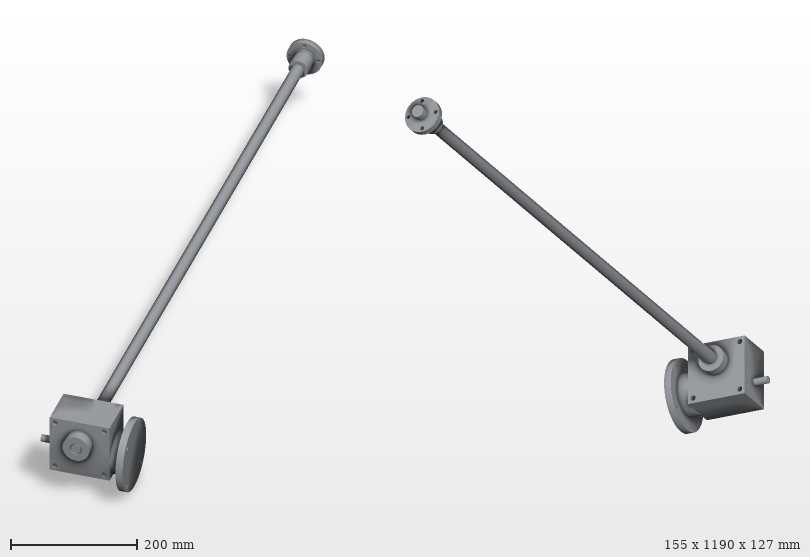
import cadquery as cq
import math


OVERALL_LENGTH = 1190.0
OVERALL_WIDTH = 155.0
OVERALL_HEIGHT = 127.0

HOUSING_SIDE = 100.0
HOUSING_DEPTH = 70.0
BOSS_DIAMETER = 44.0
BOSS_SPAN = 110.0
CORNER_HOLE_DIAMETER = 9.0
CORNER_HOLE_INSET = 8.9
SIDE_HOLE_DIAMETER = 4.9
SIDE_HOLE_DEPTH = 12.0
SIDE_HOLE_PITCH_Y = 52.0
SIDE_HOLE_PITCH_Z = 29.0

WORM_DIAMETER = 12.0
WORM_STICKOUT = 25.0
WORM_CENTER_HOLE_DIAMETER = 4.2
WORM_CENTER_HOLE_DEPTH = 12.0

FLANGE_DIAMETER = 120.0
FLANGE_THICKNESS = 12.0
NECK_START_DIAMETER = 70.0
NECK_END_DIAMETER = 73.0
FLANGE_HOLE_DIAMETER = 7.0
FLANGE_BOLT_CIRCLE = 100.0
FLANGE_HOLE_COUNT = 4

SCREW_DIAMETER = 20.0
SCREW_HEIGHT_ABOVE_WORM = 30.0
SCREW_END_DIAMETER = 15.0
SCREW_END_LENGTH = 4.0

NUT_DIAMETER = 32.0
NUT_LENGTH = 44.0
NUT_FLANGE_DIAMETER = 60.0
NUT_FLANGE_THICKNESS = 12.0
NUT_FILLET = 3.0
NUT_HOLE_DIAMETER = 7.0
NUT_BOLT_CIRCLE = 48.0
NUT_HOLE_COUNT = 4
SCREW_TIP_STICKOUT = 15.0

HOUSING_RIGHT = HOUSING_SIDE / 2
HOUSING_LEFT = -HOUSING_RIGHT
WORM_TIP_X = HOUSING_LEFT - WORM_STICKOUT
FLANGE_OUTER_X = WORM_TIP_X + OVERALL_WIDTH
FLANGE_INNER_X = FLANGE_OUTER_X - FLANGE_THICKNESS

HOUSING_BACK = HOUSING_DEPTH / 2
HOUSING_FRONT = -HOUSING_BACK
BOSS_BACK = BOSS_SPAN / 2
BOSS_FRONT = -BOSS_BACK
SCREW_TIP_Y = OVERALL_LENGTH - FLANGE_DIAMETER / 2
NUT_BACK = SCREW_TIP_Y - SCREW_TIP_STICKOUT
NUT_FRONT = NUT_BACK - NUT_LENGTH
NUT_FLANGE_FRONT = NUT_BACK - NUT_FLANGE_THICKNESS

HOUSING_TOP = OVERALL_HEIGHT - FLANGE_DIAMETER / 2
HOUSING_MID_Z = HOUSING_TOP - HOUSING_SIDE / 2


def rod_x(diameter, x_start, x_end, y=0.0, z=0.0):
    """Solid cylinder along X, on the worm axis unless another place is given."""
    plane = cq.Plane(origin=(x_start, y, z), xDir=(0, 1, 0), normal=(1, 0, 0))
    return cq.Workplane(plane).circle(diameter / 2).extrude(x_end - x_start)


def rod_y(diameter, y_start, y_end, x=0.0, z=SCREW_HEIGHT_ABOVE_WORM):
    """Solid cylinder along Y, on the screw axis unless another place is given."""
    plane = cq.Plane(origin=(x, y_start, z), xDir=(1, 0, 0), normal=(0, 1, 0))
    return cq.Workplane(plane).circle(diameter / 2).extrude(y_end - y_start)


def rectangle_corners(width, height):
    """Corner points of a rectangle centred on the origin."""
    return [(i * width / 2, j * height / 2) for i in (-1, 1) for j in (-1, 1)]


def circle_points(diameter, count, start_angle=0.0):
    """Evenly spaced points on a circle, the first one at start_angle."""
    angles = [start_angle + 2 * math.pi * index / count for index in range(count)]
    return [(diameter / 2 * math.cos(a), diameter / 2 * math.sin(a)) for a in angles]


def make_housing():
    """Square gear case with a bored boss on the front and back, for the screw."""
    body = cq.Workplane("XY").box(HOUSING_SIDE, HOUSING_DEPTH, HOUSING_SIDE)
    body = body.translate((0, 0, HOUSING_MID_Z))
    body = body.union(rod_y(BOSS_DIAMETER, BOSS_FRONT, BOSS_BACK))
    body = body.cut(rod_y(SCREW_DIAMETER, BOSS_FRONT, BOSS_BACK))

    corner_pitch = HOUSING_SIDE - 2 * CORNER_HOLE_INSET
    for x, dz in rectangle_corners(corner_pitch, corner_pitch):
        body = body.cut(rod_y(CORNER_HOLE_DIAMETER, HOUSING_FRONT, HOUSING_BACK, x, HOUSING_MID_Z + dz))

    hole_bottom = HOUSING_LEFT + SIDE_HOLE_DEPTH
    for y, z in rectangle_corners(SIDE_HOLE_PITCH_Y, SIDE_HOLE_PITCH_Z):
        body = body.cut(rod_x(SIDE_HOLE_DIAMETER, HOUSING_LEFT, hole_bottom, y, z))
    return body


def make_worm_shaft():
    """Input shaft stub with a centre hole in its end."""
    shaft = rod_x(WORM_DIAMETER, WORM_TIP_X, HOUSING_LEFT)
    hole_bottom = WORM_TIP_X + WORM_CENTER_HOLE_DEPTH
    return shaft.cut(rod_x(WORM_CENTER_HOLE_DIAMETER, WORM_TIP_X, hole_bottom))


def make_motor_flange():
    """Round flange on a slightly tapered neck, with bolt holes on the diagonals."""
    neck = cq.Solid.makeCone(
        NECK_START_DIAMETER / 2,
        NECK_END_DIAMETER / 2,
        FLANGE_INNER_X - HOUSING_RIGHT,
        cq.Vector(HOUSING_RIGHT, 0, 0),
        cq.Vector(1, 0, 0),
    )
    flange = cq.Workplane(neck).union(rod_x(FLANGE_DIAMETER, FLANGE_INNER_X, FLANGE_OUTER_X))
    first_angle = math.pi / FLANGE_HOLE_COUNT
    for y, z in circle_points(FLANGE_BOLT_CIRCLE, FLANGE_HOLE_COUNT, first_angle):
        flange = flange.cut(rod_x(FLANGE_HOLE_DIAMETER, FLANGE_INNER_X, FLANGE_OUTER_X, y, z))
    return flange


def make_screw():
    """Long screw with a short reduced end, flush with the front boss."""
    shoulder_y = BOSS_FRONT + SCREW_END_LENGTH
    reduced_end = rod_y(SCREW_END_DIAMETER, BOSS_FRONT, shoulder_y)
    return reduced_end.union(rod_y(SCREW_DIAMETER, shoulder_y, SCREW_TIP_Y))


def make_nut():
    """Flanged nut on the screw, with a fillet where the barrel meets the flange."""
    barrel = rod_y(NUT_DIAMETER, NUT_FRONT, NUT_FLANGE_FRONT)
    flange = rod_y(NUT_FLANGE_DIAMETER, NUT_FLANGE_FRONT, NUT_BACK)
    root = cq.selectors.RadiusNthSelector(0)
    nut = barrel.union(flange).faces("<Y[1]").edges(root).fillet(NUT_FILLET)
    nut = nut.cut(rod_y(SCREW_DIAMETER, NUT_FRONT, NUT_BACK))
    for x, dz in circle_points(NUT_BOLT_CIRCLE, NUT_HOLE_COUNT):
        z = SCREW_HEIGHT_ABOVE_WORM + dz
        nut = nut.cut(rod_y(NUT_HOLE_DIAMETER, NUT_FLANGE_FRONT, NUT_BACK, x, z))
    return nut


housing = make_housing()
worm_shaft = make_worm_shaft()
motor_flange = make_motor_flange()
screw = make_screw()
nut = make_nut()

result = cq.Compound.makeCompound(
    [housing.val(), worm_shaft.val(), motor_flange.val(), screw.val(), nut.val()]
)